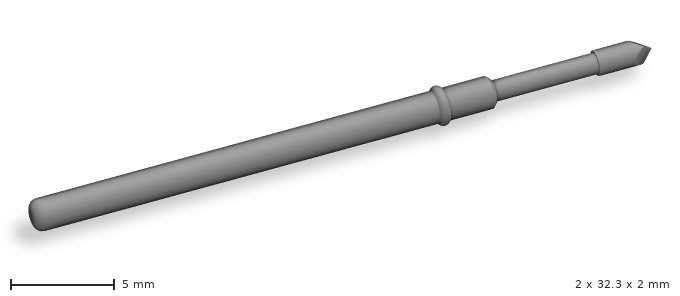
import cadquery as cq
import math

overall_length = 32.3

barrel_diameter = 1.65
barrel_radius = barrel_diameter / 2
barrel_length = 24.0
barrel_end_fillet = 0.45
barrel_mouth_chamfer = 0.2

ring_outer_diameter = 2.0
ring_outer_radius = ring_outer_diameter / 2
ring_bead_radius = 0.3
ring_tip_distance = 11.05
ring_position = overall_length - ring_tip_distance
bead_center_radius = ring_outer_radius - ring_bead_radius
ring_half_width = math.sqrt(ring_bead_radius**2 - (barrel_radius - bead_center_radius) ** 2)

shaft_diameter = 1.05
shaft_radius = shaft_diameter / 2
head_diameter = 1.3
head_radius = head_diameter / 2
head_length = 2.95
head_start = overall_length - head_length

point_face_count = 3
point_face_angle = 30.0
cutter_margin = 0.32


def make_turned_body():
    """Revolve the half outline of barrel, ring, shaft and blunt head about the Y axis."""
    fillet_center_radius = barrel_radius - barrel_end_fillet
    fillet_reach = barrel_end_fillet * math.sin(math.pi / 4)
    fillet_middle = (barrel_end_fillet - fillet_reach, fillet_center_radius + fillet_reach)
    outline = (
        cq.Workplane("YZ")
        .moveTo(0, 0)
        .lineTo(0, fillet_center_radius)
        .threePointArc(fillet_middle, (barrel_end_fillet, barrel_radius))
        .lineTo(ring_position - ring_half_width, barrel_radius)
        .threePointArc(
            (ring_position, ring_outer_radius),
            (ring_position + ring_half_width, barrel_radius),
        )
        .lineTo(barrel_length - barrel_mouth_chamfer, barrel_radius)
        .lineTo(barrel_length, barrel_radius - barrel_mouth_chamfer)
        .lineTo(barrel_length, shaft_radius)
        .lineTo(head_start, shaft_radius)
        .lineTo(head_start, head_radius)
        .lineTo(overall_length, head_radius)
        .lineTo(overall_length, 0)
        .close()
    )
    return outline.revolve(360, (0, 0, 0), (1, 0, 0))


def make_point_cutter():
    """Wedge outside the flat that faces +X, passing through the tip of the pin."""
    outer_x = head_radius + cutter_margin
    wedge_depth = outer_x / math.tan(math.radians(point_face_angle))
    return (
        cq.Workplane("XY", origin=(0, 0, -outer_x))
        .moveTo(0, overall_length)
        .lineTo(outer_x, overall_length)
        .lineTo(outer_x, overall_length - wedge_depth)
        .close()
        .extrude(2 * outer_x)
    )


def cut_point(body):
    """Grind the equally spaced flats of the point onto the head."""
    cutter = make_point_cutter()
    for index in range(point_face_count):
        turn = index * 360 / point_face_count
        body = body.cut(cutter.rotate((0, 0, 0), (0, 1, 0), turn))
    return body


result = cut_point(make_turned_body())